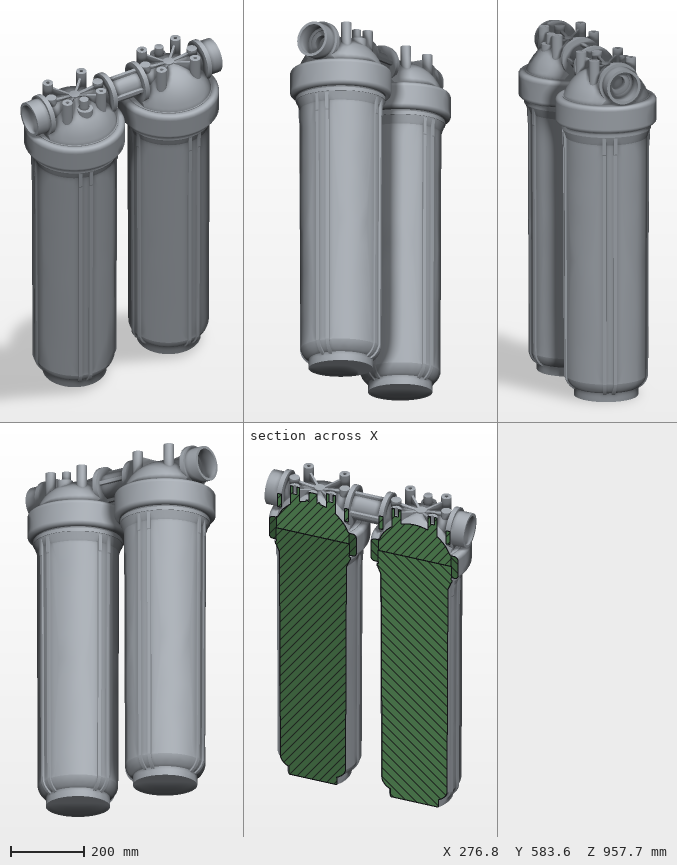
import cadquery as cq
import math


OVERALL_HEIGHT = 957.7
OVERALL_LENGTH = 583.6
HOUSING_SPACING = 298.0

NUT_RADIUS = 138.41
NUT_BORE_RADIUS = 119.5
NUT_BOTTOM = 769.0
NUT_TOP = 843.0
NUT_TOP_FILLET = 12.0
NUT_BOTTOM_FILLET = 10.5

SEAM_HEIGHT = (NUT_BOTTOM + NUT_TOP) / 2
RIM_RADIUS = 123.0
RIM_TOP = 764.0
RIM_BOTTOM = 754.0
SHOULDER_TOP_RADIUS = 121.0
SHOULDER_BOTTOM = 730.0
BODY_TOP_RADIUS = 112.5
BODY_BOTTOM_RADIUS = 110.0
BODY_BOTTOM = 55.0
FOOT_RADIUS = 88.0
FOOT_HEIGHT = 25.0
CORNER_BULGE = 4.0

RIB_PAIRS = 4
RIB_WIDTH = 9.5
RIB_ANGLE = 14.7
RIB_HEIGHT = 5.0
RIB_FOOT_RADIUS = 90.0
GUSSET_TOP_HEIGHT = 7.5
GUSSET_BOTTOM_HEIGHT = 6.5
GUSSET_BOTTOM = 705.0
GUSSET_STEP = 3.0
FRONT_BOWL_TURN = -RIB_ANGLE
REAR_BOWL_TURN = RIB_ANGLE / 2

SKIRT_TOP = NUT_TOP + 2.0
DOME_RADIUS = 121.8
DOME_CENTER_HEIGHT = 808.7
DOME_HALF_LENGTH = 105.0

AXIS_HEIGHT = 900.2
FLANGE_RADIUS = 57.0
FLANGE_THICKNESS = 13.0
PIPE_RADIUS = 30.0
PORT_RADIUS = 48.6
PORT_MOUTH_RADIUS = 41.0
PORT_SEAT_RADIUS = 33.0
PORT_BORE_DEPTH = 45.0
PORT_SEAT_DEPTH = 3.0
PORT_HOLE_RADIUS = 20.0
PORT_HOLE_DEPTH = 20.0
LINK_RADIUS = 35.5
LINK_FIN_REACH = 44.0
LINK_FIN_WIDTH = 10.0

BOSS_OFFSET = 53.0
BOSS_RADIUS = 14.3
BOSS_HOLE_RADIUS = 5.0
BOSS_HOLE_DEPTH = 25.0
PAD_OFFSET = 73.5
PAD_RADIUS = 14.0
PAD_TOP = 949.0
HUB_RADIUS = 15.0
HUB_TOP = 934.0
VENT_OFFSET = 52.0
VENT_RADIUS = 12.3
VENT_TOP = 949.0
VENT_SEAT_OFFSET = 57.0
VENT_SEAT_RADIUS = 21.5
VENT_SEAT_TOP = 922.0
VENT_GROOVE_RADIUS = 15.0
VENT_GROOVE_DEPTH = 3.0

WEB_INNER_TOP = 932.0
BOSS_WEB_WIDTH = 6.5
BOSS_WEB_TOP = 946.0
PAD_WEB_WIDTH = 9.0
PAD_WEB_TOP = 940.5


def upright(x, y, radius, bottom, top):
    """Vertical cylinder."""
    return cq.Workplane("XY", origin=(x, y, bottom)).circle(radius).extrude(top - bottom)


def along_axis(radius, y_start, y_end):
    """Cylinder on the port axis."""
    plane = cq.Plane(origin=(0, y_start, AXIS_HEIGHT), xDir=(1, 0, 0), normal=(0, 1, 0))
    return cq.Workplane(plane).circle(radius).extrude(y_end - y_start)


def revolve(profile):
    """Full turn of a radius-height outline about Z."""
    return profile.close().revolve(360, (0, 0, 0), (0, 1, 0))


def corner_middle(offset):
    """Middle point of the rounded bottom corner, moved outward by offset."""
    drop = BODY_BOTTOM - FOOT_HEIGHT
    inset = BODY_BOTTOM_RADIUS - FOOT_RADIUS
    chord = math.hypot(drop, inset)
    reach = CORNER_BULGE + offset
    radius = (BODY_BOTTOM_RADIUS + FOOT_RADIUS) / 2 + reach * drop / chord
    height = (BODY_BOTTOM + FOOT_HEIGHT) / 2 - reach * inset / chord
    return radius, height


def make_nut():
    ring = upright(0, 0, NUT_RADIUS, NUT_BOTTOM, NUT_TOP)
    ring = ring.faces(">Z").edges().fillet(NUT_TOP_FILLET)
    ring = ring.faces("<Z").edges().fillet(NUT_BOTTOM_FILLET)
    return ring.cut(upright(0, 0, NUT_BORE_RADIUS, NUT_BOTTOM, NUT_TOP))


def rib_envelope():
    """Round body that holds the outer faces of all ribs of a bowl."""
    return revolve(
        cq.Workplane("XZ")
        .moveTo(0, FOOT_HEIGHT - RIB_HEIGHT)
        .lineTo(RIB_FOOT_RADIUS, FOOT_HEIGHT - RIB_HEIGHT)
        .threePointArc(corner_middle(RIB_HEIGHT), (BODY_BOTTOM_RADIUS + RIB_HEIGHT, BODY_BOTTOM))
        .lineTo(BODY_TOP_RADIUS + RIB_HEIGHT, GUSSET_BOTTOM - GUSSET_STEP)
        .lineTo(BODY_TOP_RADIUS + GUSSET_BOTTOM_HEIGHT, GUSSET_BOTTOM)
        .lineTo(BODY_TOP_RADIUS + GUSSET_TOP_HEIGHT, RIM_BOTTOM)
        .lineTo(0, RIM_BOTTOM)
    )


def make_bowl(turn):
    bowl = revolve(
        cq.Workplane("XZ")
        .moveTo(0, 0)
        .lineTo(FOOT_RADIUS, 0)
        .lineTo(FOOT_RADIUS, FOOT_HEIGHT)
        .threePointArc(corner_middle(0), (BODY_BOTTOM_RADIUS, BODY_BOTTOM))
        .lineTo(BODY_TOP_RADIUS, SHOULDER_BOTTOM)
        .lineTo(SHOULDER_TOP_RADIUS, RIM_BOTTOM)
        .lineTo(RIM_RADIUS, RIM_BOTTOM)
        .lineTo(RIM_RADIUS, RIM_TOP)
        .lineTo(NUT_BORE_RADIUS, RIM_TOP)
        .lineTo(NUT_BORE_RADIUS, SEAM_HEIGHT)
        .lineTo(0, SEAM_HEIGHT)
    )
    envelope = rib_envelope()
    for pair in range(RIB_PAIRS):
        for side in (-1, 1):
            angle = turn + pair * 360 / RIB_PAIRS + side * RIB_ANGLE / 2
            strip = (
                cq.Workplane("XY")
                .box(RIM_RADIUS, RIB_WIDTH, RIM_BOTTOM, centered=(False, True, False))
                .rotate((0, 0, 0), (0, 0, 1), angle)
            )
            bowl = bowl.union(strip.intersect(envelope))
    return bowl


def make_dome():
    """Skirt, dome and the cross pipe with its two flanges."""
    skirt = upright(0, 0, NUT_BORE_RADIUS, SEAM_HEIGHT, SKIRT_TOP)
    ball = cq.Workplane("XY", origin=(0, 0, DOME_CENTER_HEIGHT)).sphere(DOME_RADIUS)
    height = OVERALL_HEIGHT - SKIRT_TOP
    trim = cq.Workplane("XY", origin=(0, 0, SKIRT_TOP))
    trim = trim.rect(2 * DOME_RADIUS, 2 * DOME_HALF_LENGTH).extrude(height)
    dome = skirt.union(ball.intersect(trim))

    pipe = along_axis(PIPE_RADIUS, -DOME_HALF_LENGTH, DOME_HALF_LENGTH)
    saddle = (
        cq.Workplane("XY", origin=(0, 0, SKIRT_TOP))
        .rect(2 * PIPE_RADIUS, 2 * DOME_HALF_LENGTH)
        .extrude(AXIS_HEIGHT - SKIRT_TOP)
    )
    dome = dome.union(pipe).union(saddle)
    inner = DOME_HALF_LENGTH - FLANGE_THICKNESS
    dome = dome.union(along_axis(FLANGE_RADIUS, -DOME_HALF_LENGTH, -inner))
    return dome.union(along_axis(FLANGE_RADIUS, inner, DOME_HALF_LENGTH))


def make_web(length, width, outer_top, angle):
    """Upright web from the hub outward, its top running straight from the hub to outer_top."""
    return (
        cq.Workplane("XZ", origin=(0, width / 2, 0))
        .moveTo(0, AXIS_HEIGHT)
        .lineTo(length, AXIS_HEIGHT)
        .lineTo(length, outer_top)
        .lineTo(HUB_RADIUS, WEB_INNER_TOP)
        .lineTo(0, WEB_INNER_TOP)
        .close()
        .extrude(width)
        .rotate((0, 0, 0), (0, 0, 1), angle)
    )


def add_dome_details(dome, vent_side):
    """Hub, pads, screw bosses, webs and the vent, which is on the vent_side of X."""
    root = SKIRT_TOP
    dome = dome.union(upright(0, 0, HUB_RADIUS, root, HUB_TOP))
    for side in (-1, 1):
        dome = dome.union(upright(0, side * PAD_OFFSET, PAD_RADIUS, AXIS_HEIGHT, PAD_TOP))
        dome = dome.union(make_web(PAD_OFFSET, PAD_WEB_WIDTH, PAD_WEB_TOP, side * 90))
    boss_distance = math.hypot(BOSS_OFFSET, BOSS_OFFSET)
    corners = [(sx * BOSS_OFFSET, sy * BOSS_OFFSET) for sx in (-1, 1) for sy in (-1, 1)]
    for x, y in corners:
        dome = dome.union(upright(x, y, BOSS_RADIUS, root, OVERALL_HEIGHT))
        angle = math.degrees(math.atan2(y, x))
        dome = dome.union(make_web(boss_distance, BOSS_WEB_WIDTH, BOSS_WEB_TOP, angle))
    for x, y in corners:
        dome = dome.cut(upright(x, y, BOSS_HOLE_RADIUS, OVERALL_HEIGHT - BOSS_HOLE_DEPTH, OVERALL_HEIGHT))
    dome = dome.union(upright(vent_side * VENT_SEAT_OFFSET, 0, VENT_SEAT_RADIUS, root, VENT_SEAT_TOP))
    groove_bottom = VENT_SEAT_TOP - VENT_GROOVE_DEPTH
    dome = dome.cut(upright(vent_side * VENT_OFFSET, 0, VENT_GROOVE_RADIUS, groove_bottom, VENT_TOP))
    return dome.union(upright(vent_side * VENT_OFFSET, 0, VENT_RADIUS, root, VENT_TOP))


def make_link():
    """Pipe between the two domes with four fins along it."""
    half = HOUSING_SPACING / 2 - DOME_HALF_LENGTH
    link = along_axis(LINK_RADIUS, -half, half)
    for width, height in ((2 * LINK_FIN_REACH, LINK_FIN_WIDTH), (LINK_FIN_WIDTH, 2 * LINK_FIN_REACH)):
        link = link.union(cq.Workplane("XY").box(width, 2 * half, height).translate((0, 0, AXIS_HEIGHT)))
    return link


def add_port(head, side):
    """Port at the outer end on the given side of Y, with a bore that narrows in two steps."""
    flange_face = HOUSING_SPACING / 2 + DOME_HALF_LENGTH
    mouth = OVERALL_LENGTH / 2
    bore_end = mouth - PORT_BORE_DEPTH
    seat_end = bore_end - PORT_SEAT_DEPTH
    hole_end = seat_end - PORT_HOLE_DEPTH
    head = head.union(along_axis(PORT_RADIUS, side * flange_face, side * mouth))
    head = head.cut(along_axis(PORT_MOUTH_RADIUS, side * bore_end, side * mouth))
    head = head.cut(along_axis(PORT_SEAT_RADIUS, side * seat_end, side * bore_end))
    return head.cut(along_axis(PORT_HOLE_RADIUS, side * hole_end, side * seat_end))


def make_head():
    head = make_link()
    for side in (-1, 1):
        dome = add_dome_details(make_dome(), -side)
        head = head.union(dome.translate((0, side * HOUSING_SPACING / 2, 0)))
    for side in (-1, 1):
        head = add_port(head, side)
    return head


head = make_head()
nuts = []
bowls = []
for side, turn in ((-1, FRONT_BOWL_TURN), (1, REAR_BOWL_TURN)):
    place = (0, side * HOUSING_SPACING / 2, 0)
    nuts.append(make_nut().translate(place).val())
    bowls.append(make_bowl(turn).translate(place).val())

result = cq.Compound.makeCompound([head.val(), *nuts, *bowls])